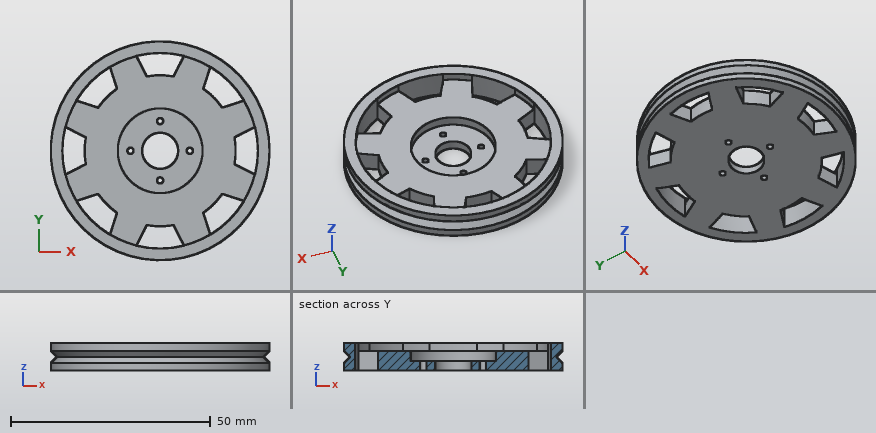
import cadquery as cq

outer_diameter = 55.0
height = 7.0
rim_inner_diameter = 49.0
rim_inner_radius = rim_inner_diameter / 2

flange_height = 2.0
groove_depth = 1.5
groove_bottom_radius = outer_diameter / 2 - groove_depth

web_recess_depth = 2.0
web_thickness = height - web_recess_depth
hub_pocket_diameter = 21.3
hub_pocket_depth = 2.5
bore_diameter = 9.0

screw_hole_count = 4
screw_hole_diameter = 1.5
screw_circle_radius = 7.45

window_count = 8
window_inner_radius = 19.0
window_rim_relief = 0.02
window_outer_radius = rim_inner_radius + window_rim_relief
window_inner_half_width = 3.35
window_side_slope = 0.51

clearance = 1.0
through_length = height + 2 * clearance


def make_grooved_disc():
    """Revolve the solid disc with the V-groove in its outer face."""
    outer_radius = outer_diameter / 2
    profile = [
        (0, 0),
        (outer_radius, 0),
        (outer_radius, flange_height),
        (groove_bottom_radius, height / 2),
        (outer_radius, height - flange_height),
        (outer_radius, height),
        (0, height),
    ]
    return cq.Workplane("XZ").polyline(profile).close().revolve(360, (0, 0), (0, 1))


def make_cylinder(diameter, bottom, length):
    """Vertical cylinder on the part axis."""
    return cq.Workplane("XY").workplane(offset=bottom).circle(diameter / 2).extrude(length)


def make_window():
    """Through cutter for the window centred on +Y."""
    inner_corner_y = (window_inner_radius**2 - window_inner_half_width**2) ** 0.5

    wedge_bottom_y = inner_corner_y - clearance
    wedge_top_y = window_outer_radius + clearance
    bottom_half_width = window_inner_half_width - window_side_slope * clearance
    top_half_width = window_inner_half_width + window_side_slope * (wedge_top_y - inner_corner_y)
    wedge_outline = [
        (-bottom_half_width, wedge_bottom_y),
        (bottom_half_width, wedge_bottom_y),
        (top_half_width, wedge_top_y),
        (-top_half_width, wedge_top_y),
    ]
    base = cq.Workplane("XY").workplane(offset=-clearance)
    wedge = base.polyline(wedge_outline).close().extrude(through_length)
    ring = base.circle(window_outer_radius).circle(window_inner_radius).extrude(through_length)
    return wedge.intersect(ring)


def cut_recesses_and_bore(body):
    """Cut the web recess, the hub pocket and the central bore."""
    pocket_floor = web_thickness - hub_pocket_depth
    body = body.cut(make_cylinder(rim_inner_diameter, web_thickness, height))
    body = body.cut(make_cylinder(hub_pocket_diameter, pocket_floor, height))
    return body.cut(make_cylinder(bore_diameter, -clearance, through_length))


def cut_screw_holes(body):
    """Cut the ring of screw holes around the bore."""
    holes = (
        cq.Workplane("XY")
        .workplane(offset=-clearance)
        .polarArray(screw_circle_radius, 0, 360, screw_hole_count)
        .circle(screw_hole_diameter / 2)
        .extrude(through_length)
    )
    return body.cut(holes)


def cut_windows(body):
    """Cut the evenly spaced windows."""
    window = make_window()
    for index in range(window_count):
        angle = index * 360 / window_count
        body = body.cut(window.rotate((0, 0, 0), (0, 0, 1), angle))
    return body


result = make_grooved_disc()
result = cut_recesses_and_bore(result)
result = cut_screw_holes(result)
result = cut_windows(result)